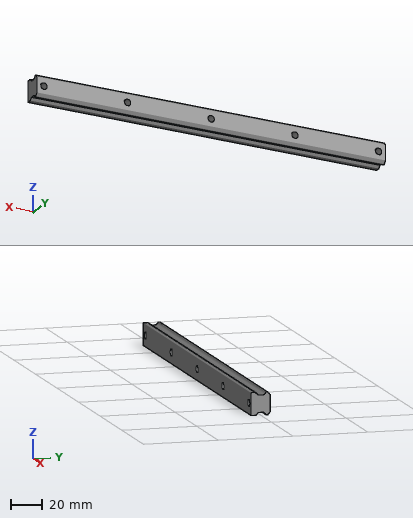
import cadquery as cq
import math

length = 250.0
depth = 13.0
height = 15.0

head_bevel_depth = 1.8
head_bevel_height = 2.0
head_land = 1.2
groove_depth = 1.8
head_flank_run = 1.8
head_flank_sag = 0.38
foot_land = 3.2
foot_flank_run = 1.8
corner_radius = 0.2

hole_diameter = 4.5
hole_count = 5
hole_pitch = 60.0

front_y = -depth / 2
back_y = depth / 2
top_z = height / 2
floor_z = top_z - groove_depth
head_start_y = back_y - head_bevel_depth
head_end_y = head_start_y - head_land
foot_end_y = front_y + foot_land


def arc_middle(start, end, sag):
    """Middle point of an arc bulging by sag to the right of the line from start to end."""
    run = end[0] - start[0]
    rise = end[1] - start[1]
    chord = math.hypot(run, rise)
    middle_y = (start[0] + end[0]) / 2 + sag * rise / chord
    middle_z = (start[1] + end[1]) / 2 - sag * run / chord
    return middle_y, middle_z


def make_rail():
    """Grooved section extruded along X, mirrored about the XY plane, with rounded outer corners."""
    flank_bottom = (head_end_y - head_flank_run, floor_z)
    flank_top = (head_end_y, top_z)
    upper_section = (
        cq.Workplane("YZ")
        .moveTo(front_y, 0)
        .lineTo(front_y, top_z)
        .lineTo(foot_end_y, top_z)
        .lineTo(foot_end_y + foot_flank_run, floor_z)
        .lineTo(*flank_bottom)
        .threePointArc(arc_middle(flank_bottom, flank_top, head_flank_sag), flank_top)
        .lineTo(head_start_y, top_z)
        .lineTo(back_y, top_z - head_bevel_height)
        .lineTo(back_y, 0)
        .close()
    )
    upper_half = upper_section.extrude(length / 2, both=True)
    rail = upper_half.union(upper_half.mirror("XY")).clean()
    outer_corners = rail.faces(">Z or <Z or >Y").edges("|X")
    return outer_corners.fillet(corner_radius)


def make_holes():
    """Row of through holes along Y, centred on the rail."""
    row = cq.Workplane("XZ").rarray(hole_pitch, 2.5, hole_count, 1)
    return row.circle(hole_diameter / 2).extrude(depth, both=True)


result = make_rail().cut(make_holes())